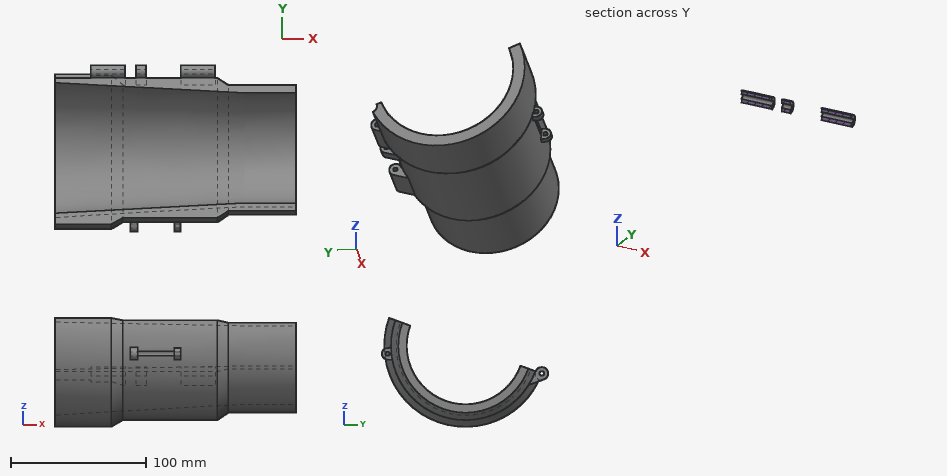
import cadquery as cq
import math

length = 178.0
large_radius = 60.0
middle_radius = 55.0
small_radius = 49.5
large_end = 41.5
middle_start = 50.0
middle_end = 120.0
small_start = 128.0
bore_inlet_radius = 51.25
bore_outlet_radius = 43.25
taper_end = 140.0
split_angle = 20.0

hinge_hole_diameter = 3.55
pin_grip_diameter = 3.15

hinge_radius = 4.75
hinge_relief_radius = 5.0
hinge_knuckles = [
    (26.25, 51.75, hinge_hole_diameter),
    (59.75, 67.25, hinge_hole_diameter),
    (92.75, 118.25, pin_grip_diameter),
]
hinge_web_angle = 20.0

latch_radius = 4.25
latch_axis_radius = 57.8
latch_angle = 6.0
latch_groove_radius = 3.3
latch_web_angle = 6.0
low_web_distance = 3.97
latch_ears = [
    (55.5, 61.25, latch_radius),
    (88.25, 92.75, low_web_distance),
]
latch_start = latch_ears[0][0]
latch_end = latch_ears[-1][1]

web_depth = 2.5



def polar(radius, degrees):
    """Point (y, z) at a radius and angle measured from +Y towards +Z."""
    angle = math.radians(degrees)
    return radius * math.cos(angle), radius * math.sin(angle)


def offset(point, distance, degrees):
    """Point reached from another by moving a distance in a direction."""
    dy, dz = polar(distance, degrees)
    return point[0] + dy, point[1] + dz


def rod(center, radius, x_start, x_end):
    """Cylinder along X."""
    profile = cq.Workplane("YZ", origin=(x_start, 0, 0)).center(*center).circle(radius)
    return profile.extrude(x_end - x_start)


def plate(points, x_start, x_end):
    """Polygon in the YZ plane extruded along X."""
    profile = cq.Workplane("YZ", origin=(x_start, 0, 0)).polyline(points).close()
    return profile.extrude(x_end - x_start)


hinge_center = polar(large_radius, -split_angle)
latch_direction = 180.0 + latch_angle
latch_center = polar(latch_axis_radius, latch_direction)


def half_shell():
    """Stepped, bored half tube, open above the tilted split plane."""
    outline = [
        (0, bore_inlet_radius),
        (0, large_radius),
        (large_end, large_radius),
        (middle_start, middle_radius),
        (middle_end, middle_radius),
        (small_start, small_radius),
        (length, small_radius),
        (length, bore_outlet_radius),
        (taper_end, bore_outlet_radius),
    ]
    half = cq.Workplane("XY").polyline(outline).close().revolve(180, (0, 0, 0), (-1, 0, 0))
    return half.rotate((0, 0, 0), (1, 0, 0), -split_angle)


def hinge_knuckle(x_start, x_end):
    """Barrel with a web that ties it to the shell below the split plane."""
    root_radius = middle_radius - web_depth
    underside = offset(hinge_center, hinge_radius, -90.0 + hinge_web_angle)
    root_reach = large_radius - root_radius + hinge_radius
    web = [
        hinge_center,
        underside,
        offset(underside, root_reach, 180.0 + hinge_web_angle),
        polar(root_radius, -split_angle),
    ]
    return rod(hinge_center, hinge_radius, x_start, x_end).union(plate(web, x_start, x_end))


def latch_ear(x_start, x_end, upper_distance):
    """Eye with a web that widens towards the shell."""
    inward = latch_direction - 180.0
    upper_direction = inward + latch_web_angle
    lower_direction = inward - latch_web_angle
    reach = latch_axis_radius - middle_radius + web_depth
    upper = offset(latch_center, upper_distance, upper_direction + 90.0)
    lower = offset(latch_center, latch_radius, lower_direction - 90.0)
    web = [
        latch_center,
        upper,
        offset(upper, reach, upper_direction),
        offset(lower, reach, lower_direction),
        lower,
    ]
    return rod(latch_center, latch_radius, x_start, x_end).union(plate(web, x_start, x_end))


def add_hinge(body):
    """Clear the shell edge around the hinge pin, then add the bored knuckles."""
    body = body.cut(rod(hinge_center, hinge_relief_radius, 0, length))
    for start, end, hole_diameter in hinge_knuckles:
        body = body.union(hinge_knuckle(start, end))
        body = body.cut(rod(hinge_center, hole_diameter / 2, start, end))
    return body


def add_latch(body):
    """Clear a shallow groove around the latch pin, then add the bored ears."""
    body = body.cut(rod(latch_center, latch_groove_radius, latch_start, latch_end))
    for start, end, upper_distance in latch_ears:
        body = body.union(latch_ear(start, end, upper_distance))
    return body.cut(rod(latch_center, pin_grip_diameter / 2, latch_start, latch_end))


result = add_latch(add_hinge(half_shell()))